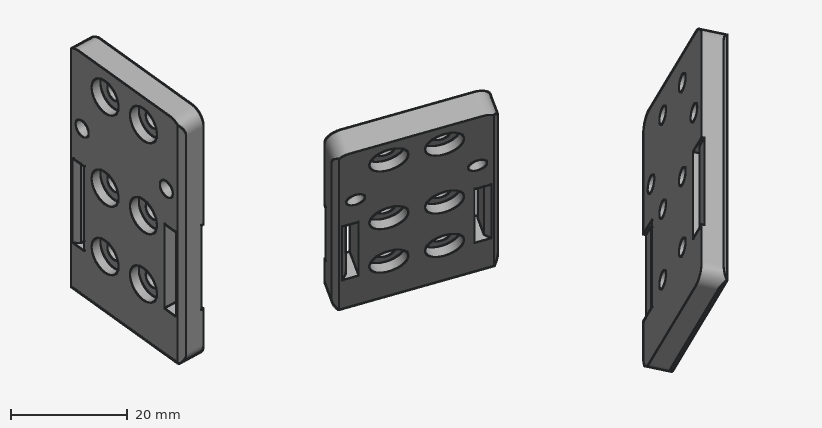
import cadquery as cq

width = 30.0
thickness = 5.0
height = 54.0
corner_radius = 3.0
bevel = 1.0

hole_diameter = 3.4
counterbore_diameter = 7.0
counterbore_depth = 2.0
screw_half_spacing = 5.0
screw_heights = (21.0, 1.0, -14.0)
pin_half_spacing = 11.0
pin_height = 10.5

slot_inner_x = 10.5
slot_width = 2.0
slot_length = 18.5
slot_center_z = -6.75
strap_recess_depth = 0.5

front_y = -thickness / 2
back_y = thickness / 2
half_width = width / 2
slot_outer_x = slot_inner_x + slot_width


def make_plate():
    """Rounded plate with straight bevels along the front side and bottom edges."""
    plate = cq.Workplane("XY").box(width, thickness, height)
    plate = plate.faces("<Y").edges("<X or >X or <Z").chamfer(bevel)
    rounded_outline = (
        cq.Workplane("XY")
        .box(width, thickness, height)
        .edges("|Y")
        .fillet(corner_radius)
    )
    return plate.intersect(rounded_outline)


def make_bore(x, z, diameter, depth):
    """Cylinder running from the front face into the plate."""
    bore = cq.Workplane("XZ").center(x, z).circle(diameter / 2).extrude(-depth)
    return bore.translate((0, front_y, 0))


def make_strap_slot():
    """Right-hand slot, flared outward at the front and open to the side at the back."""
    recess_y = back_y - strap_recess_depth
    return (
        cq.Workplane("XY")
        .workplane(offset=slot_center_z - slot_length / 2)
        .moveTo(slot_inner_x, front_y)
        .lineTo(slot_outer_x + bevel, front_y)
        .lineTo(slot_outer_x, front_y + bevel)
        .lineTo(slot_outer_x, recess_y)
        .lineTo(half_width, recess_y)
        .lineTo(half_width, back_y)
        .lineTo(slot_inner_x, back_y)
        .close()
        .extrude(slot_length)
    )


result = make_plate()

for side in (-1, 1):
    for z in screw_heights:
        x = side * screw_half_spacing
        result = result.cut(make_bore(x, z, hole_diameter, thickness))
        result = result.cut(make_bore(x, z, counterbore_diameter, counterbore_depth))
    result = result.cut(make_bore(side * pin_half_spacing, pin_height, hole_diameter, thickness))

strap_slot = make_strap_slot()
result = result.cut(strap_slot).cut(strap_slot.mirror("YZ"))